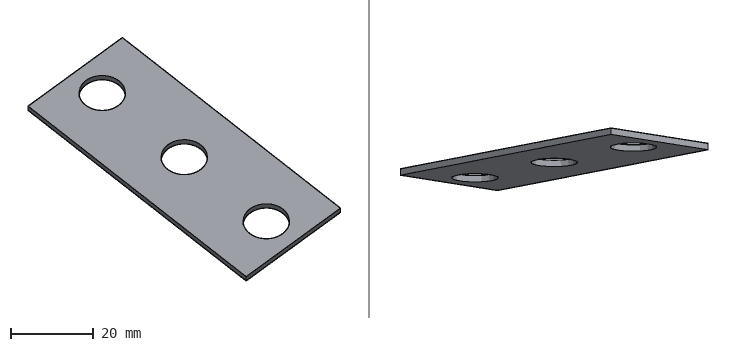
import cadquery as cq

plate_length = 76.2
plate_width = 31.8
plate_thickness = 1.6

hole_diameter = 11.2
hole_spacing = 28.65
hole_count = 3

plate = cq.Workplane("XY").box(plate_length, plate_width, plate_thickness)

result = (
    plate.faces(">Z")
    .workplane()
    .rarray(hole_spacing, plate_width, hole_count, 1)
    .hole(hole_diameter)
)